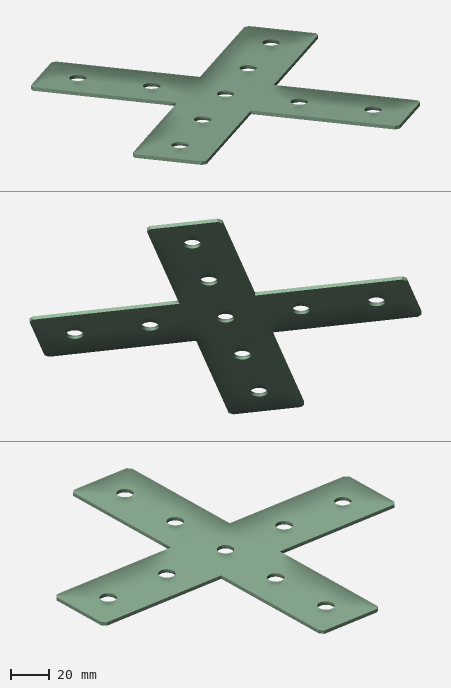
import cadquery as cq

span = 200.0
arm_width = 40.0
thickness = 2.0
corner_cut = 2.0
hole_diameter = 9.0
hole_pitch = 40.0
holes_per_arm = 2


def arm_bar(length_x, length_y):
    """Flat bar resting on Z = 0 with its four corners chamfered."""
    bar = cq.Workplane("XY").box(length_x, length_y, thickness, centered=(True, True, False))
    return bar.edges("|Z").chamfer(corner_cut)


def hole_centers():
    """One hole in the middle and evenly spaced holes along each arm."""
    centers = [(0, 0)]
    for step in range(1, holes_per_arm + 1):
        offset = step * hole_pitch
        centers += [(offset, 0), (-offset, 0), (0, offset), (0, -offset)]
    return centers


plate = arm_bar(span, arm_width).union(arm_bar(arm_width, span))

result = plate.faces(">Z").workplane(origin=(0, 0, 0)).pushPoints(hole_centers()).hole(hole_diameter)